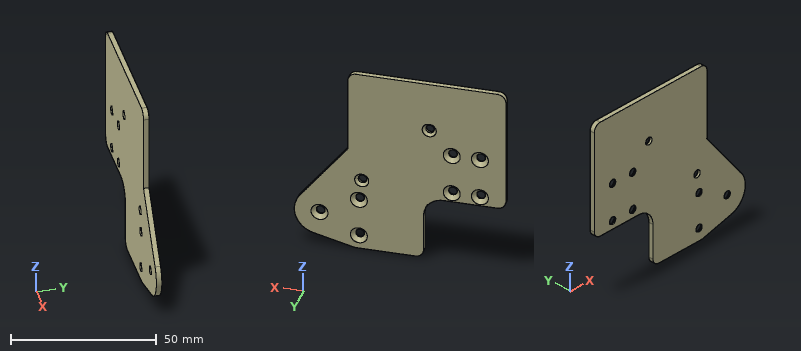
import cadquery as cq
import math

thickness = 2.0
length = 75.2
height = 70.0
upper_right_x = 56.2
upper_bottom_z = 24.0
leg_left_x = 29.2

nose_radius = 9.0
nose_x = length - nose_radius
nose_z = 12.35
nose_upper_start = (upper_right_x, 39.38)
nose_lower_start = (53.6, 0.0)

corner_radius = 3.0
notch_radius = 7.0

hole_diameter = 3.0
countersink_angle = 90.0
small_countersink_diameter = 5.0
large_countersink_diameter = 6.0
left_hole_x = 9.2
left_hole_pitch_x = 10.0
left_hole_z = 27.5
left_hole_pitch_z = 15.0
small_countersink_centres = [(27.2, 51.5), (51.2, left_hole_z)]
nose_pair_x = 52.2
nose_pair_half_pitch = 7.15


def nose_point(angle):
    """Point on the nose circle at an angle in radians from +X."""
    return (nose_x + nose_radius * math.cos(angle), nose_z + nose_radius * math.sin(angle))


def tangent_angle(start, side):
    """Angle of the nose point touched by the tangent from start; side picks which tangent."""
    dx = start[0] - nose_x
    dz = start[1] - nose_z
    return math.atan2(dz, dx) + side * math.acos(nose_radius / math.hypot(dx, dz))


def make_plate():
    """Flat plate with its tangent-sided nose and rounded corners."""
    upper_tangent = nose_point(tangent_angle(nose_upper_start, -1))
    lower_tangent = nose_point(tangent_angle(nose_lower_start, 1))
    plate = (
        cq.Workplane("XZ")
        .moveTo(0, upper_bottom_z)
        .lineTo(0, height)
        .lineTo(upper_right_x, height)
        .lineTo(*nose_upper_start)
        .lineTo(*upper_tangent)
        .threePointArc(nose_point(0), lower_tangent)
        .lineTo(*nose_lower_start)
        .lineTo(leg_left_x, 0)
        .lineTo(leg_left_x, upper_bottom_z)
        .close()
        .extrude(-thickness)
    )
    outer_corners = [
        (0, upper_bottom_z),
        (0, height),
        (upper_right_x, height),
        (leg_left_x, 0),
    ]
    for corner in outer_corners:
        plate = round_corner(plate, corner, corner_radius)
    return round_corner(plate, (leg_left_x, upper_bottom_z), notch_radius)


def round_corner(plate, corner, radius):
    """Fillet the edge through the thickness at the given (x, z) corner."""
    corner_point = (corner[0], thickness / 2, corner[1])
    return plate.edges("|Y").edges(cq.NearestToPointSelector(corner_point)).fillet(radius)


def large_countersink_centres():
    """Centres (x, z) of the left group of four, the pair beside the nose and the nose hole."""
    centres = [(nose_x, nose_z)]
    for column in range(2):
        for row in range(2):
            x = left_hole_x + column * left_hole_pitch_x
            z = left_hole_z + row * left_hole_pitch_z
            centres.append((x, z))
    for side in (-1, 1):
        centres.append((nose_pair_x, nose_z + side * nose_pair_half_pitch))
    return centres


def cut_countersunk_holes(plate, centres, countersink_diameter):
    """Cut through holes at the centres, countersunk from the back (+Y) face."""
    back_face = cq.Plane(origin=(0, thickness, 0), xDir=(-1, 0, 0), normal=(0, 1, 0))
    return (
        plate.copyWorkplane(cq.Workplane(back_face))
        .pushPoints([(-x, z) for x, z in centres])
        .cskHole(hole_diameter, countersink_diameter, countersink_angle)
    )


result = make_plate()
result = cut_countersunk_holes(result, small_countersink_centres, small_countersink_diameter)
result = cut_countersunk_holes(result, large_countersink_centres(), large_countersink_diameter)